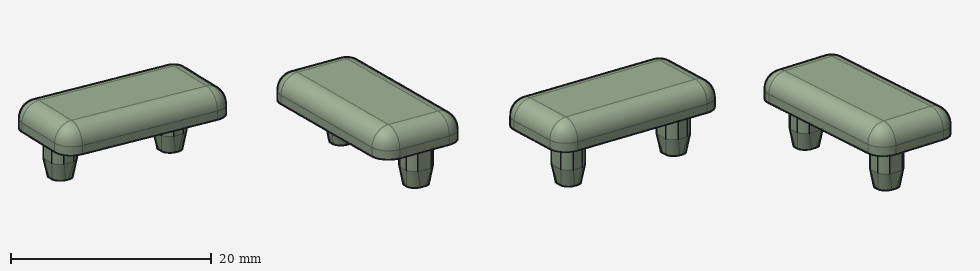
import cadquery as cq
import math

cap_width = 10
cap_length = 20
cap_height = 3
cap_radius = 2

peg_width = 3.2
peg_depth = 3
peg_corner_radius = 1.7
peg_straight = 3
peg_inset = 2
tip_height = 2
tip_draft = 0.35
tip_corner_radius = 1

peg_x = -cap_width / 2 + peg_inset + peg_width / 2
peg_y = cap_length / 2 - peg_inset - peg_depth / 2


def make_cap():
    plate = cq.Workplane("XY").box(cap_width, cap_length, cap_height, centered=(True, True, False))
    return plate.edges("|Z").fillet(cap_radius).faces(">Z").edges().fillet(cap_radius)


def peg_profile(z, half_x, half_y, flat_x, flat_y, arc_radius, arc_center):
    """Closed wire with four flats and four corner arcs, symmetric about the peg axis.

    flat_x and flat_y are half-lengths of the flats running along X and Y.
    arc_center is the corner arc center in the +X +Y quadrant.
    """
    center_x, center_y = arc_center
    start_angle = math.atan2(flat_y - center_y, half_x - center_x)
    end_angle = math.atan2(half_y - center_y, flat_x - center_x)
    middle_angle = (start_angle + end_angle) / 2
    mid_x = center_x + arc_radius * math.cos(middle_angle)
    mid_y = center_y + arc_radius * math.sin(middle_angle)
    outline = (
        cq.Workplane("XY", origin=(0, 0, z))
        .moveTo(half_x, -flat_y)
        .lineTo(half_x, flat_y)
        .threePointArc((mid_x, mid_y), (flat_x, half_y))
        .lineTo(-flat_x, half_y)
        .threePointArc((-mid_x, mid_y), (-half_x, flat_y))
        .lineTo(-half_x, -flat_y)
        .threePointArc((-mid_x, -mid_y), (-flat_x, -half_y))
        .lineTo(flat_x, -half_y)
        .threePointArc((mid_x, -mid_y), (half_x, -flat_y))
        .close()
    )
    return outline.val()


def upper_profile(z):
    half_x = peg_width / 2
    half_y = peg_depth / 2
    flat_x = math.sqrt(peg_corner_radius**2 - half_y**2)
    flat_y = math.sqrt(peg_corner_radius**2 - half_x**2)
    return peg_profile(z, half_x, half_y, flat_x, flat_y, peg_corner_radius, (0, 0))


def tip_profile(z):
    half_x = peg_width / 2 - tip_draft
    half_y = peg_depth / 2 - tip_draft
    flat_x = half_x - tip_corner_radius
    flat_y = half_y - tip_corner_radius
    return peg_profile(z, half_x, half_y, flat_x, flat_y, tip_corner_radius, (flat_x, flat_y))


def make_peg():
    shank = cq.Solid.makeLoft([upper_profile(-peg_straight), upper_profile(0)], True)
    tip_bottom = -peg_straight - tip_height
    tip = cq.Solid.makeLoft([tip_profile(tip_bottom), upper_profile(-peg_straight)], True)
    return cq.Workplane(shank).union(cq.Workplane(tip))


result = make_cap()
for y in (-peg_y, peg_y):
    result = result.union(make_peg().translate((peg_x, y, 0)))